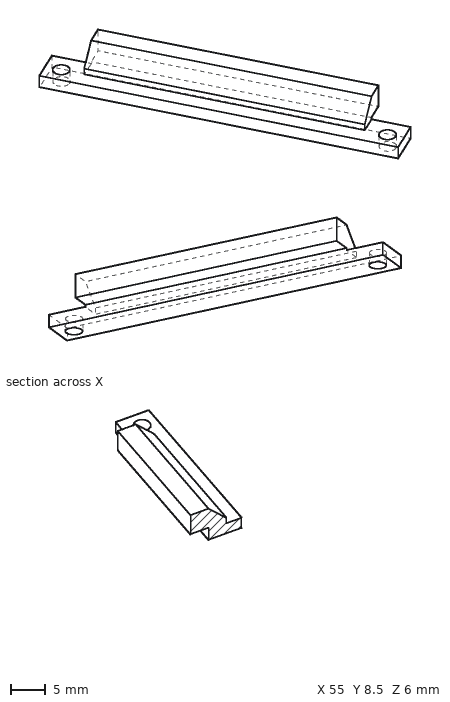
import cadquery as cq

plate_length = 55.0
plate_depth = 5.5
plate_thickness = 2.0

hole_diameter = 2.5
hole_end_distance = 2.5
hole_front_distance = 2.5

bar_length = 43.0
bar_front = 2.5
bar_overhang = 3.0
bar_back = plate_depth + bar_overhang
bar_top = 6.0
bevel_size = 3.0
overhang_gap = 0.3
overhang_bottom = plate_thickness + overhang_gap


def make_plate():
    """Flat plate with a through hole near each end."""
    plate = cq.Workplane("XY").box(
        plate_length, plate_depth, plate_thickness, centered=(True, False, False)
    )
    hole_x = plate_length / 2 - hole_end_distance
    holes = (
        cq.Workplane("XY")
        .pushPoints([(-hole_x, hole_front_distance), (hole_x, hole_front_distance)])
        .circle(hole_diameter / 2)
        .extrude(plate_thickness)
    )
    return plate.cut(holes)


def make_bar():
    """Bar with a 45 degree front bevel and a stepped underside, extruded along X."""
    profile = [
        (bar_front, plate_thickness),
        (plate_depth, plate_thickness),
        (plate_depth, overhang_bottom),
        (bar_back, overhang_bottom),
        (bar_back, bar_top),
        (bar_front + bevel_size, bar_top),
        (bar_front, bar_top - bevel_size),
    ]
    return cq.Workplane("YZ").polyline(profile).close().extrude(bar_length / 2, both=True)


result = make_plate().union(make_bar())